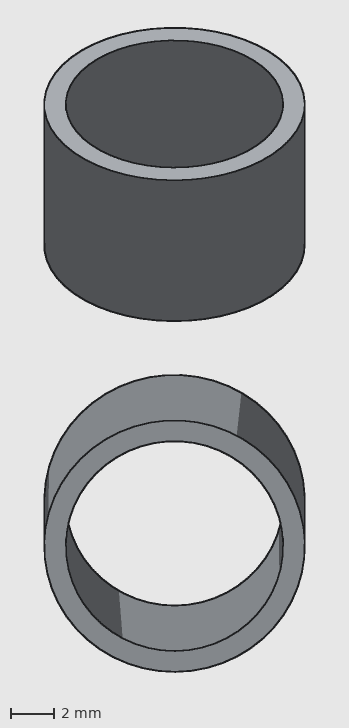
import cadquery as cq

outer_diameter = 12.0
wall_thickness = 1.0
height = 8.0

bore_diameter = outer_diameter - 2 * wall_thickness


def make_sleeve():
    """Tube with a straight bore through its full height."""
    return (
        cq.Workplane("XY")
        .circle(outer_diameter / 2)
        .circle(bore_diameter / 2)
        .extrude(height)
    )


result = make_sleeve()